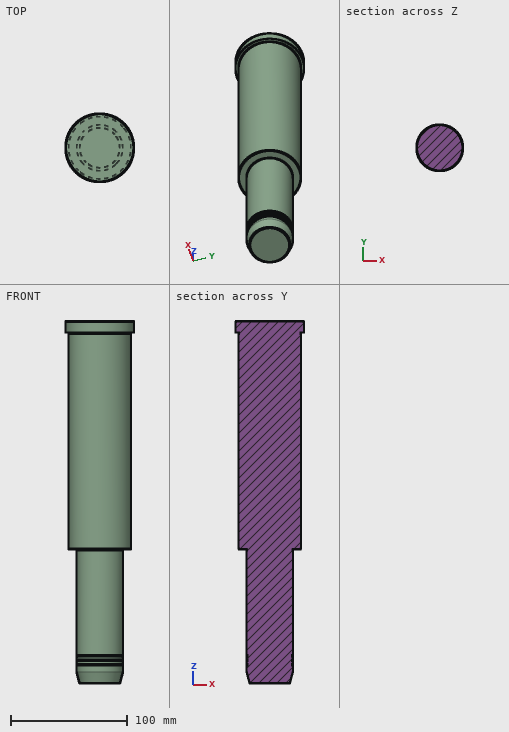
import cadquery as cq

total_length = 311.0
head_diameter = 59.0
head_height = 10.0
head_chamfer = 0.5
body_diameter = 54.0
body_bottom = 115.0
body_chamfer = 0.5
pin_diameter = 40.0

tip_diameter = 34.8
tip_height = 10.0
tip_chamfer = 0.5

groove_count = 3
groove_width = 1.2
groove_depth = 0.5
groove_pitch = 3.7
lowest_groove_bottom = 15.5

relief_width = 1.0
relief_depth = 0.3


def cylinder(diameter, bottom, top):
    """Upright cylinder on the part axis."""
    return cq.Workplane("XY").workplane(offset=bottom).circle(diameter / 2).extrude(top - bottom)


def ring_groove(diameter, bottom, width, depth):
    """Ring of material to remove from a cylindrical surface."""
    top = bottom + width
    core = cylinder(diameter - 2 * depth, bottom, top)
    return cylinder(diameter + 2 * depth, bottom, top).cut(core)


head_bottom = total_length - head_height
head = cylinder(head_diameter, head_bottom, total_length).faces(">Z").edges().chamfer(head_chamfer)
body = cylinder(body_diameter, body_bottom, head_bottom).faces("<Z").edges().chamfer(body_chamfer)
pin = cylinder(pin_diameter, tip_height, body_bottom)
tip = (
    cq.Workplane("XY")
    .circle(tip_diameter / 2)
    .workplane(offset=tip_height)
    .circle(pin_diameter / 2)
    .loft(ruled=True)
    .faces("<Z")
    .edges()
    .chamfer(tip_chamfer)
)

result = head.union(body).union(pin).union(tip)
for index in range(groove_count):
    groove_bottom = lowest_groove_bottom + index * groove_pitch
    result = result.cut(ring_groove(pin_diameter, groove_bottom, groove_width, groove_depth))
for diameter, shoulder in ((body_diameter, head_bottom), (pin_diameter, body_bottom)):
    result = result.cut(ring_groove(diameter, shoulder - relief_width, relief_width, relief_depth))